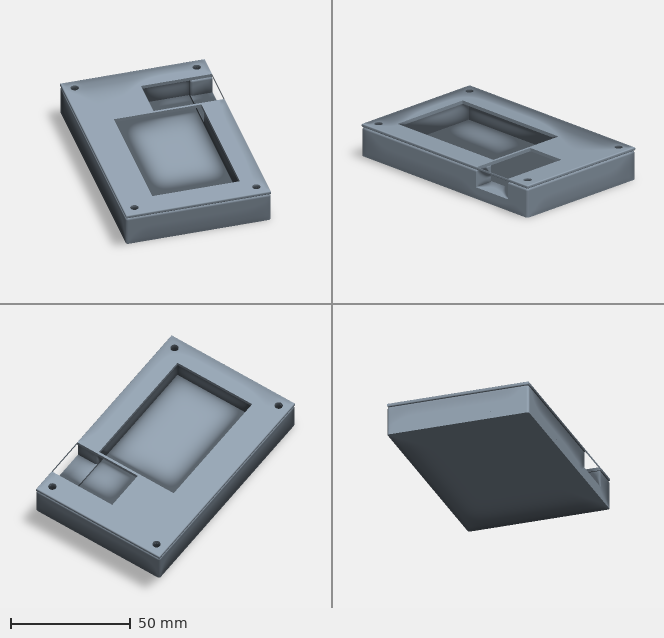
import cadquery as cq

LENGTH = 99.0
WIDTH = 63.0

BOTTOM_PLATE_THICKNESS = 1.0
BASE_THICKNESS = 2.0
FRAME_HEIGHT = 10.0
LID_THICKNESS = 1.5

CORNER_RADIUS = 1.0
LID_EDGE_RADIUS = 0.5

HOLE_INSET = 4.95
LID_HOLE_DIAMETER = 3.5
FRAME_HOLE_DIAMETER = 3.4

SIDE_WALL_THICKNESS = 9.3
BACK_WALL_THICKNESS = 9.5
FLOOR_THICKNESS = 1.1
SILL_HEIGHT = 2.2
SLOT_LEFT = -37.8
SLOT_RIGHT = -18.7

NOTCH_LEFT = -38.1
NOTCH_RIGHT = -19.5
NOTCH_FRONT = 0.5
NOTCH_RIM = 0.1

WINDOW_LEFT = -18.4
WINDOW_RIGHT = 38.8
WINDOW_FRONT = -17.0
WINDOW_BACK = 21.0

PICK_MARGIN = 0.1

BASE_Z = BOTTOM_PLATE_THICKNESS
FRAME_Z = BASE_Z + BASE_THICKNESS
LID_Z = FRAME_Z + FRAME_HEIGHT


def block(x_min, x_max, y_min, y_max, z_min, height):
    """Box given by its X and Y limits, its lower level and its height."""
    box = cq.Workplane("XY").box(x_max - x_min, y_max - y_min, height, centered=False)
    return box.translate((x_min, y_min, z_min))


def layer(z_min, height):
    """Plain box over the whole footprint."""
    return block(-LENGTH / 2, LENGTH / 2, -WIDTH / 2, WIDTH / 2, z_min, height)


def screw_holes(diameter, z_min, height):
    """Four cylinders to cut, one near each corner."""
    return (
        cq.Workplane("XY", origin=(0, 0, z_min))
        .rect(LENGTH - 2 * HOLE_INSET, WIDTH - 2 * HOLE_INSET, forConstruction=True)
        .vertices()
        .circle(diameter / 2)
        .extrude(height)
    )


def make_plate(z_min, thickness):
    """Box over the whole footprint with rounded corners."""
    return layer(z_min, thickness).edges("|Z").fillet(CORNER_RADIUS)


def make_frame():
    """Tray with a cavity, and a slot through the back wall with rounded jambs."""
    cavity_x = LENGTH / 2 - SIDE_WALL_THICKNESS
    cavity_y = WIDTH / 2 - BACK_WALL_THICKNESS
    cavity = block(-cavity_x, cavity_x, -cavity_y, cavity_y, FRAME_Z + FLOOR_THICKNESS, FRAME_HEIGHT)
    slot = block(SLOT_LEFT, SLOT_RIGHT, 0, WIDTH / 2, FRAME_Z + SILL_HEIGHT, FRAME_HEIGHT)
    holes = screw_holes(FRAME_HOLE_DIAMETER, FRAME_Z, FRAME_HEIGHT)

    tray = make_plate(FRAME_Z, FRAME_HEIGHT).cut(cavity).cut(slot)

    jamb_edges = cq.selectors.BoxSelector(
        (SLOT_LEFT - PICK_MARGIN, cavity_y - PICK_MARGIN, FRAME_Z),
        (SLOT_RIGHT + PICK_MARGIN, cavity_y + PICK_MARGIN, LID_Z),
    )
    tray = tray.edges("|Z").edges(jamb_edges).fillet(CORNER_RADIUS)
    tray = tray.faces(">Z").edges().fillet(CORNER_RADIUS)
    return tray.cut(holes)


def make_lid():
    """Cover with rounded outer edges, a notch and a window."""
    plate = layer(LID_Z, LID_THICKNESS).edges("<Z or >Z").fillet(LID_EDGE_RADIUS)
    notch_back = WIDTH / 2 - NOTCH_RIM
    notch = block(NOTCH_LEFT, NOTCH_RIGHT, NOTCH_FRONT, notch_back, LID_Z, LID_THICKNESS)
    window = block(WINDOW_LEFT, WINDOW_RIGHT, WINDOW_FRONT, WINDOW_BACK, LID_Z, LID_THICKNESS)
    holes = screw_holes(LID_HOLE_DIAMETER, LID_Z, LID_THICKNESS)
    return plate.cut(notch).cut(window).cut(holes)


bottom_plate = make_plate(0, BOTTOM_PLATE_THICKNESS)
base = make_plate(BASE_Z, BASE_THICKNESS)
frame = make_frame()
lid = make_lid()

result = cq.Compound.makeCompound([bottom_plate.val(), base.val(), frame.val(), lid.val()])